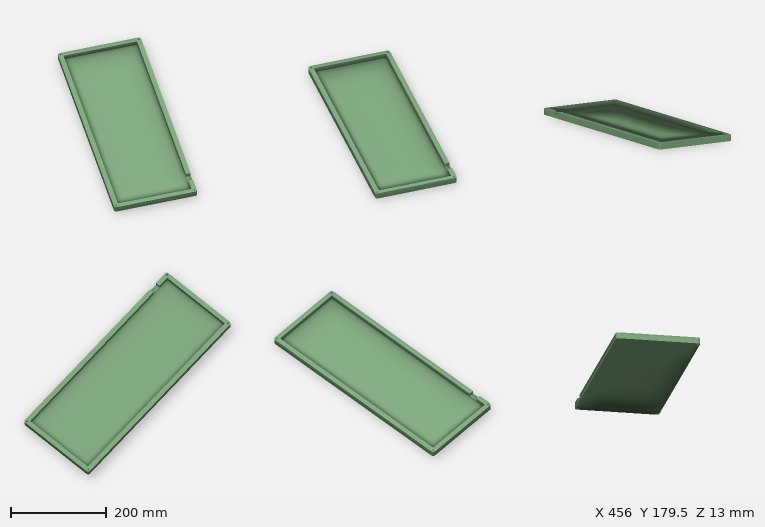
import cadquery as cq

length = 456.0
width = 179.5
height = 13.0
corner_radius = 5.0

cavity_length = 436.0
cavity_width = 159.0
back_wall = (width - cavity_width) / 2
floor_thickness = 2.95

hole_diameter = 3.4
hole_spacing_x = 446.0
hole_spacing_y = 169.0

notch_center_x = 184.0
notch_width = 19.0
notch_depth = 7.98


def tray_body():
    """Rounded slab, resting on Z = 0."""
    slab = cq.Workplane("XY").box(length, width, height, centered=(True, True, False))
    return slab.edges("|Z").fillet(corner_radius)


def cavity():
    """Sharp-cornered pocket, open at the top."""
    return (
        cq.Workplane("XY")
        .workplane(offset=floor_thickness)
        .rect(cavity_length, cavity_width)
        .extrude(height - floor_thickness)
    )


def corner_holes():
    """Four through holes, one in each corner of the rim."""
    return (
        cq.Workplane("XY")
        .rect(hole_spacing_x, hole_spacing_y, forConstruction=True)
        .vertices()
        .circle(hole_diameter / 2)
        .extrude(height)
    )


def cable_notch():
    """Open-topped slot across the full thickness of the back wall."""
    return (
        cq.Workplane("XY")
        .workplane(offset=height - notch_depth)
        .center(notch_center_x, (width - back_wall) / 2)
        .rect(notch_width, back_wall)
        .extrude(notch_depth)
    )


result = tray_body().cut(cavity()).cut(corner_holes()).cut(cable_notch())